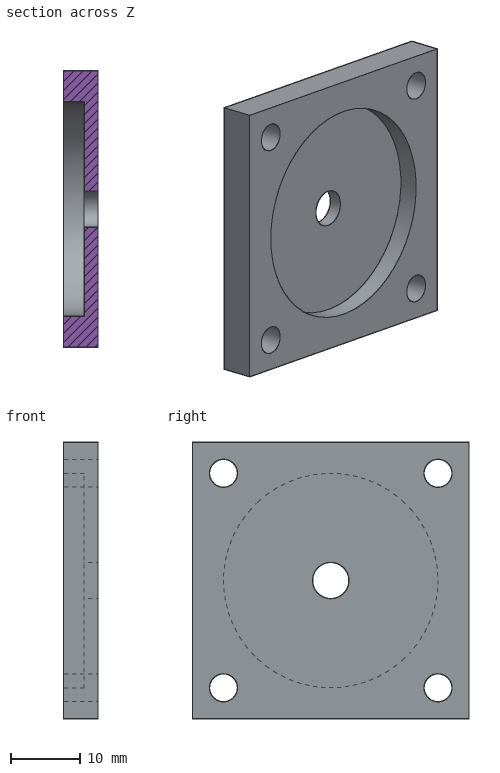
import cadquery as cq

side = 40
thickness = 5.0

recess_diameter = 31.0
recess_depth = 3.0

center_hole_diameter = 5.2
corner_hole_diameter = 4
corner_hole_spacing = 31.0

front_x = -thickness / 2


def cylinder_along_x(diameter, length):
    """Cylinder on the X axis, running inward from the -X face."""
    return cq.Workplane("YZ", origin=(front_x, 0, 0)).circle(diameter / 2).extrude(length)


plate = cq.Workplane("XY").box(thickness, side, side)
recess = cylinder_along_x(recess_diameter, recess_depth)
center_hole = cylinder_along_x(center_hole_diameter, thickness)

corner_holes = (
    cq.Workplane("YZ", origin=(front_x, 0, 0))
    .rect(corner_hole_spacing, corner_hole_spacing, forConstruction=True)
    .vertices()
    .circle(corner_hole_diameter / 2)
    .extrude(thickness)
)

result = plate.cut(recess).cut(center_hole).cut(corner_holes)